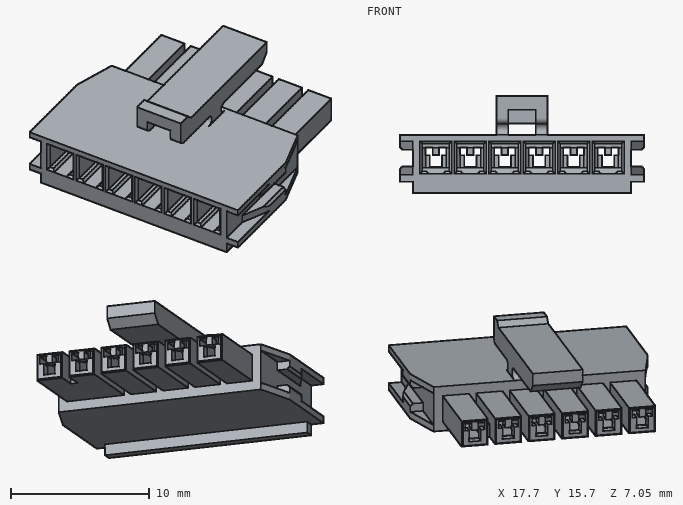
import cadquery as cq


overall_width = 17.7
flange_overhang = 0.95
block_width = overall_width - 2 * flange_overhang
block_depth = 9.82
block_bottom = 0.81
block_height = 3.42
block_top = block_bottom + block_height
lower_flange_thickness = 0.51
upper_flange_thickness = 0.48
lower_flange_top = block_bottom + lower_flange_thickness
upper_flange_bottom = block_top - upper_flange_thickness
flange_taper_start = 6.6
lip_depth = 0.83

wedge_front = 2.15
wedge_knee = 4.04
wedge_crest = 4.37
wedge_knee_drop = 0.1
wedge_height = 0.62
wedge_chamfer = 0.2

contact_count = 6
contact_pitch = 2.5
finger_width = 1.96
finger_bottom = 1.54
finger_top = 3.5
finger_root = 8.85
finger_tip = 15.7
tip_chamfer = 0.09
web_tip = 14.0
web_top = 2.51

mouth_bottom = 1.4
mouth_top = 3.77
mouth_chamfer = 0.18
chamber_width = 1.95
chamber_bottom = mouth_bottom + mouth_chamfer
chamber_top = mouth_top - mouth_chamfer
mouth_width = chamber_width + 2 * mouth_chamfer
chamber_end = 8.85
groove_floor_width = 1.03
bore_width = 1.49
bore_bottom = 1.85
bore_top = 3.3
throat_end = chamber_end + (chamber_width - bore_width) / 2
tip_wall = 0.7
exit_slot_width = 0.87
exit_step = 2.76
exit_sill = 0.05
tab_width = 0.48

latch_width = 3.72
latch_front = 3.49
latch_back = 15.42
latch_bottom = 5.05
latch_top = 6.64
latch_peak = 7.05
peak_length = 1.01
back_chamfer = 0.67
nose_radius = 0.39
neck_front = 7.79
neck_back = 9.1
window_width = 1.96
window_top = 6.04


def box(x_min, x_max, y_min, y_max, z_min, z_max):
    size = (x_max - x_min, y_max - y_min, z_max - z_min)
    return cq.Workplane("XY").box(*size, centered=False).translate((x_min, y_min, z_min))


def centered_box(width, y_min, y_max, z_min, z_max):
    return box(-width / 2, width / 2, y_min, y_max, z_min, z_max)


def plan_prism(points, z_min, z_max):
    """Prism along Z from (x, y) points."""
    return cq.Workplane("XY").workplane(offset=z_min).polyline(points).close().extrude(z_max - z_min)


def both_sides(shape):
    return shape.union(shape.mirror("YZ"))


def make_flange(z_min, z_max):
    outer = overall_width / 2
    inner = block_width / 2
    right_half = [
        (0, 0),
        (outer, 0),
        (outer, flange_taper_start),
        (inner, block_depth),
        (0, block_depth),
    ]
    return both_sides(plan_prism(right_half, z_min, z_max))


def make_wedges():
    """Ramped catches, one under the upper flange and one over the lower flange, on each side."""
    outer = overall_width / 2
    inner = block_width / 2
    plan = [
        (inner, wedge_front),
        (outer - wedge_knee_drop, wedge_knee),
        (outer, wedge_crest),
        (outer, flange_taper_start),
        (inner, flange_taper_start),
    ]
    upper_section = [
        (inner, upper_flange_bottom),
        (outer, upper_flange_bottom),
        (outer, upper_flange_bottom - wedge_height + wedge_chamfer),
        (outer - wedge_chamfer, upper_flange_bottom - wedge_height),
        (inner, upper_flange_bottom - wedge_height),
    ]
    section = cq.Workplane("XZ").polyline(upper_section).close().extrude(-block_depth)
    upper = plan_prism(plan, 0, block_top).intersect(section)
    mid_height = (upper_flange_bottom + lower_flange_top) / 2
    lower = upper.mirror("XY", (0, 0, mid_height))
    return both_sides(upper.union(lower))


def make_housing():
    block = centered_box(block_width, 0, block_depth, block_bottom, block_top)
    lip = centered_box(block_width, 0, lip_depth, 0, block_bottom)
    lower_flange = make_flange(block_bottom, lower_flange_top)
    upper_flange = make_flange(upper_flange_bottom, block_top)
    return block.union(lip).union(lower_flange).union(upper_flange).union(make_wedges())


def make_finger():
    """Solid finger with a chamfered tip, starting inside the block."""
    finger = centered_box(finger_width, finger_root, finger_tip, finger_bottom, finger_top)
    return finger.faces(">Y").chamfer(tip_chamfer)


def make_chamber():
    """Front chamber: grooved floor that ramps up at 45 degrees to the bore level."""
    half_width = chamber_width / 2
    half_floor = groove_floor_width / 2
    half_groove = half_floor + mouth_chamfer
    section = [
        (-half_width, chamber_top),
        (-half_width, chamber_bottom),
        (-half_groove, chamber_bottom),
        (-half_floor, mouth_bottom),
        (half_floor, mouth_bottom),
        (half_groove, chamber_bottom),
        (half_width, chamber_bottom),
        (half_width, chamber_top),
    ]
    floor_ramp_start = chamber_end - (bore_bottom - mouth_bottom)
    side = [
        (0, mouth_bottom),
        (floor_ramp_start, mouth_bottom),
        (chamber_end, bore_bottom),
        (chamber_end, chamber_top),
        (0, chamber_top),
    ]
    along_y = cq.Workplane("XZ").polyline(section).close().extrude(-chamber_end)
    along_x = cq.Workplane("YZ").polyline(side).close().extrude(half_width, both=True)
    return along_y.intersect(along_x)


def make_throat():
    """Narrowing passage whose 45 degree side walls lead from the chamber to the bore."""
    half_chamber = chamber_width / 2
    half_bore = bore_width / 2
    plan = [
        (-half_chamber, chamber_end),
        (half_chamber, chamber_end),
        (half_bore, throat_end),
        (-half_bore, throat_end),
    ]
    return plan_prism(plan, bore_bottom, bore_top)


def make_cavity():
    """Everything removed for one contact, from the mouth to the exit in the finger tip."""
    mouth_center = (mouth_bottom + mouth_top) / 2
    mouth = (
        cq.Workplane("XZ", origin=(0, 0, mouth_center))
        .rect(mouth_width, mouth_top - mouth_bottom)
        .workplane(offset=-mouth_chamfer)
        .rect(chamber_width, chamber_top - chamber_bottom)
        .loft()
    )
    bore_end = finger_tip - tip_wall
    bore = centered_box(bore_width, throat_end, bore_end, bore_bottom, bore_top)
    exit_upper = centered_box(bore_width, bore_end, finger_tip, exit_step, bore_top)
    exit_tab = centered_box(tab_width, bore_end, finger_tip, exit_step, bore_top)
    exit_lower = centered_box(exit_slot_width, bore_end, finger_tip, bore_bottom + exit_sill, exit_step)
    exit_hole = exit_upper.cut(exit_tab).union(exit_lower)
    return mouth.union(make_chamber()).union(make_throat()).union(bore).union(exit_hole)


def make_latch():
    """Lever on two short legs whose front and back faces are half-round hollows."""
    neck_radius = (latch_bottom - block_top) / 2
    neck_middle = block_top + neck_radius
    peak_back = latch_front + peak_length
    profile = (
        cq.Workplane("YZ")
        .moveTo(latch_front, latch_peak)
        .lineTo(peak_back, latch_peak)
        .lineTo(peak_back + latch_peak - latch_top, latch_top)
        .lineTo(latch_back, latch_top)
        .lineTo(latch_back, latch_bottom + back_chamfer)
        .lineTo(latch_back - back_chamfer, latch_bottom)
        .lineTo(neck_back + neck_radius, latch_bottom)
        .threePointArc((neck_back, neck_middle), (neck_back + neck_radius, block_top))
        .lineTo(neck_front - neck_radius, block_top)
        .threePointArc((neck_front, neck_middle), (neck_front - neck_radius, latch_bottom))
        .lineTo(latch_front + nose_radius, latch_bottom)
        .radiusArc((latch_front, latch_bottom + nose_radius), nose_radius)
        .close()
    )
    lever = profile.extrude(latch_width / 2, both=True)
    window = centered_box(window_width, latch_front, neck_back, block_top, window_top)
    gap_between_legs = centered_box(window_width, latch_front, latch_back, block_top, latch_bottom)
    return lever.cut(window).cut(gap_between_legs)


contact_positions = [(i - (contact_count - 1) / 2) * contact_pitch for i in range(contact_count)]

body = make_housing()
finger = make_finger()
for x in contact_positions:
    body = body.union(finger.translate((x, 0, 0)))

keying_web = box(contact_positions[-2], contact_positions[-1], block_depth, web_tip, finger_bottom, web_top)
body = body.union(keying_web)

cavity = make_cavity()
for x in contact_positions:
    body = body.cut(cavity.translate((x, 0, 0)))

result = body.union(make_latch())